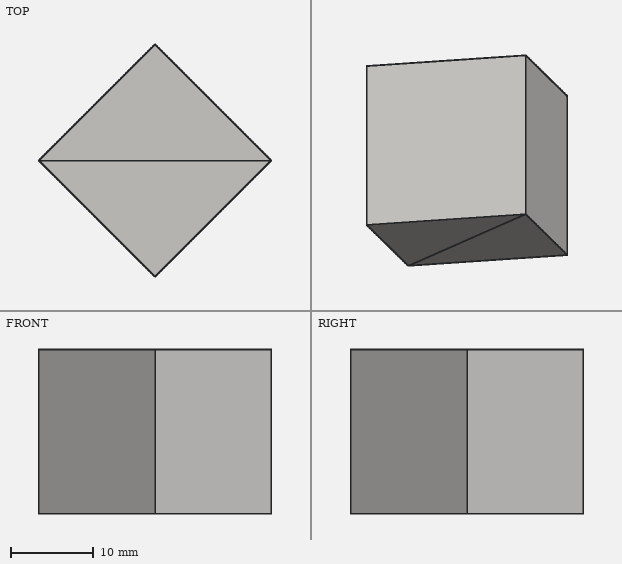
import cadquery as cq

DIAGONAL = 28.28
HALF_DIAGONAL = DIAGONAL / 2
HEIGHT = 20.0

FRONT = -1
BACK = 1


def half_block(side):
    """Right triangular prism with its long face on the plane Y = 0 and its edge toward the given side."""
    return (
        cq.Workplane("XY")
        .polyline([(-HALF_DIAGONAL, 0), (HALF_DIAGONAL, 0), (0, side * HALF_DIAGONAL)])
        .close()
        .extrude(HEIGHT)
    )


half_blocks = [half_block(side) for side in (FRONT, BACK)]

result = cq.Compound.makeCompound([block.val() for block in half_blocks])